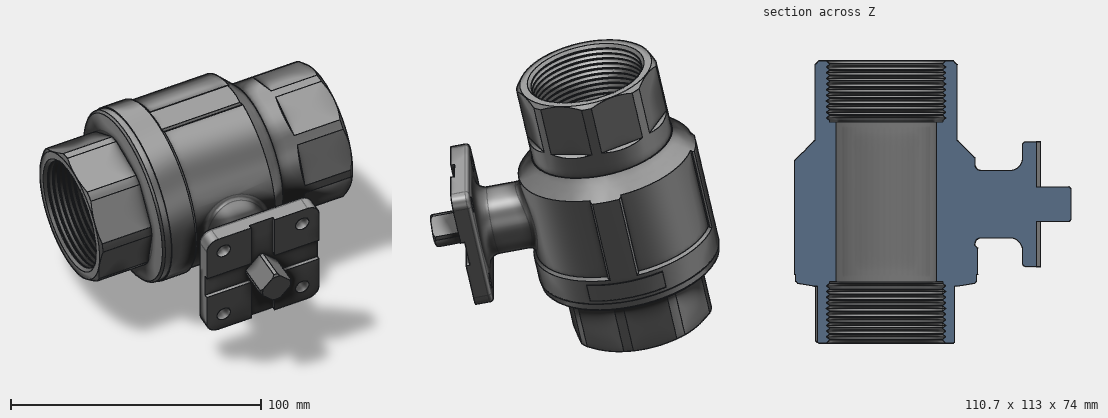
import cadquery as cq
import math


overall_width = 110.7
overall_length = 113.0
collar_radius = 36.7
rear_end = 57.4
front_end = rear_end - overall_length
stem_end = overall_width - collar_radius

neck_radius = 28.5
neck_cone_radius = 28.8
neck_cone_start = 25.4
panel_radius = 35.6
collar_rear = -16.4
collar_front = -28.1
cap_radius = 36.3
cap_front = -30.8
cap_edge_chamfer = 0.9
dish_front = -32.9

side_rib_width = 13.6
pad_rib_width = 11.0
top_rib_height = 36.2
rib_wall_depth = 0.8

pad_radius = 37.3
pad_width = 31.0
pad_rear = -19.2
pad_front = -26.3

flat_count = 8
flat_apothem = 27.0
flat_step = 360 / flat_count
rear_flat_start = 35.4
rear_flat_run_out = 1.0
front_flat_turn = 11.0
rear_chamfer = 1.6
front_chamfer_length = 0.9
front_chamfer_depth = 1.6

bore_radius = 20.0
thread_root_radius = 23.8
thread_crest_radius = 22.6
thread_pitch = 2.3
thread_turns = 10
thread_crest_width = 0.5
thread_run_out = 0.7
thread_lead_in = thread_root_radius - thread_crest_radius
thread_depth = thread_lead_in + thread_pitch * thread_turns + thread_run_out

stem_neck_radius = 13.6
body_blend = 2.3
flange_blend = 5.0
flange_back = 54.5
flange_face = 61.8
flange_side = 50.1
flange_corner = 5.1
flange_edge_fillet = 1.5
hole_spacing = 35.0
hole_diameter = 6.0
slot_width = 10.4
slot_depth = 1.6

stem_square = 11.0
stem_corner_radius = 7.0
stem_chamfer = 0.8


def revolve_about_bore(points):
    """Solid of revolution about Y from (radius, y) points."""
    return cq.Workplane("XY").polyline(points).close().revolve(360, (0, 0, 0), (0, 1, 0))


def cylinder_x(radius, start, end):
    return cq.Workplane("YZ").workplane(offset=start).circle(radius).extrude(end - start)


def barrel(shell_radius):
    """Rear 45 degree cone running into a cylinder that ends inside the collar."""
    cone_end = neck_cone_start - (shell_radius - neck_cone_radius)
    return revolve_about_bore([
        (0, neck_cone_start),
        (neck_cone_radius, neck_cone_start),
        (shell_radius, cone_end),
        (shell_radius, collar_front),
        (0, collar_front),
    ])


def collar_and_cap():
    collar_step = collar_radius - panel_radius
    collar = revolve_about_bore([
        (0, collar_rear),
        (panel_radius, collar_rear),
        (collar_radius, collar_rear - collar_step),
        (collar_radius, collar_front),
        (0, collar_front),
    ])
    cap = revolve_about_bore([
        (0, collar_front),
        (cap_radius, collar_front),
        (cap_radius, cap_front),
        (cap_radius - cap_edge_chamfer, cap_front - cap_edge_chamfer),
        (neck_radius, dish_front),
        (0, dish_front),
    ])
    return collar.union(cap)


def rib_block(width, crown, angle):
    """Radial block up to crown, turned about Y, with 45 degree walls below its long edges."""
    half = width / 2
    foot = half + rib_wall_depth
    edge = min(crown, math.sqrt(collar_radius**2 - half**2))
    walls = (
        cq.Workplane("XZ")
        .polyline([
            (-foot, 0),
            (-foot, edge - rib_wall_depth),
            (-half, edge),
            (half, edge),
            (foot, edge - rib_wall_depth),
            (foot, 0),
        ])
        .close()
        .extrude(overall_length, both=True)
    )
    core = cq.Workplane("XY").box(width, 2 * overall_length, crown, centered=(True, True, False))
    return walls.union(core).rotate((0, 0, 0), (0, 1, 0), angle)


def ribs():
    """Flat-crowned top rib; the bottom and left ribs follow the collar cylinder."""
    top = rib_block(pad_rib_width, top_rib_height, 0)
    bottom = rib_block(pad_rib_width, collar_radius, 180)
    left = rib_block(side_rib_width, collar_radius, -90)
    return barrel(collar_radius).intersect(top.union(bottom).union(left))


def marking_pad():
    """Raised curved pad across the bottom of the collar."""
    ring = (
        cq.Workplane("XZ", origin=(0, pad_rear, 0))
        .circle(pad_radius)
        .extrude(pad_rear - pad_front)
    )
    window = cq.Workplane("XY").box(pad_width, overall_length, 2 * pad_radius).translate((0, 0, -pad_radius))
    return ring.intersect(window)


def cut_flats(blank, start, end, run_out, turn):
    """Mill the wrench flats between two Y stations; the far wall slopes out by run_out."""
    depth = neck_radius - flat_apothem
    cutter = (
        cq.Workplane("YZ")
        .polyline([
            (start, flat_apothem),
            (end, flat_apothem),
            (end, flat_apothem + 2 * depth),
            (start - 2 * run_out, flat_apothem + 2 * depth),
        ])
        .close()
        .extrude(neck_radius / 2, both=True)
    )
    for index in range(flat_count):
        blank = blank.cut(cutter.rotate((0, 0, 0), (0, 1, 0), turn + index * flat_step))
    return blank


def rear_end_piece():
    blank = revolve_about_bore([
        (0, neck_cone_start),
        (neck_radius, neck_cone_start),
        (neck_radius, rear_end - rear_chamfer),
        (neck_radius - rear_chamfer, rear_end),
        (0, rear_end),
    ])
    return cut_flats(blank, rear_flat_start, rear_end, rear_flat_run_out, flat_step / 2)


def front_end_piece():
    blank = revolve_about_bore([
        (0, collar_front),
        (neck_radius, collar_front),
        (neck_radius, front_end + front_chamfer_length),
        (neck_radius - front_chamfer_depth, front_end),
        (0, front_end),
    ])
    return cut_flats(blank, front_end, collar_front, 0, front_flat_turn)


def threaded_socket(mouth, inward):
    """Ring-grooved socket; inward is the sign of Y pointing into the valve."""
    root_offset = (thread_pitch + thread_crest_width) / 2
    bottom = mouth + inward * thread_depth
    points = [(0, mouth), (thread_root_radius, mouth)]
    for turn in range(thread_turns):
        crest = mouth + inward * (thread_lead_in + turn * thread_pitch)
        points.append((thread_crest_radius, crest))
        points.append((thread_crest_radius, crest + inward * thread_crest_width))
        points.append((thread_root_radius, crest + inward * root_offset))
    points.append((thread_crest_radius, bottom - inward * thread_run_out))
    points.append((thread_crest_radius, bottom))
    points.append((0, bottom))
    return revolve_about_bore(points)


def bore():
    through = cq.Workplane("XZ").workplane(offset=-rear_end).circle(bore_radius).extrude(overall_length)
    return through.union(threaded_socket(rear_end, -1)).union(threaded_socket(front_end, 1))


def flange():
    thickness = flange_face - flange_back
    plate = (
        cq.Workplane("YZ", origin=(flange_back, 0, 0))
        .rect(flange_side, flange_side)
        .extrude(thickness)
        .edges("|X")
        .fillet(flange_corner)
        .faces("<X")
        .edges()
        .fillet(flange_edge_fillet)
    )
    holes = (
        cq.Workplane("YZ", origin=(flange_back, 0, 0))
        .rect(hole_spacing, hole_spacing, forConstruction=True)
        .vertices()
        .circle(hole_diameter / 2)
        .extrude(thickness)
    )
    slot_plane = cq.Workplane("YZ", origin=(flange_face - slot_depth, 0, 0))
    slots = slot_plane.rect(flange_side, slot_width).extrude(slot_depth)
    slots = slots.union(slot_plane.rect(slot_width, flange_side).extrude(slot_depth))
    return plate.cut(holes).cut(slots)


def flange_neck():
    """Concave flare between the stem neck and the back of the flange."""
    flare_start = flange_back - flange_blend
    sag = flange_blend * math.sqrt(0.5)
    rim_radius = stem_neck_radius + flange_blend
    return (
        cq.Workplane("XY")
        .moveTo(flare_start, 0)
        .lineTo(flare_start, stem_neck_radius)
        .threePointArc((flare_start + sag, rim_radius - sag), (flange_back, rim_radius))
        .lineTo(flange_back, 0)
        .close()
        .revolve(360, (0, 0, 0), (1, 0, 0))
    )


def drive_stem():
    start = flange_face - slot_depth
    square = (
        cq.Workplane("YZ", origin=(start, 0, 0))
        .transformed(rotate=(0, 0, 45))
        .rect(stem_square, stem_square)
        .extrude(stem_end - start)
    )
    envelope = cylinder_x(stem_corner_radius, start, stem_end).faces(">X").chamfer(stem_chamfer)
    return square.intersect(envelope)


body = barrel(panel_radius).union(cylinder_x(stem_neck_radius, 0, flange_back - flange_blend))
junction_reach = stem_neck_radius + body_blend / 2
junction = cq.selectors.BoxSelector(
    (bore_radius, -junction_reach, -junction_reach),
    (panel_radius + body_blend / 2, junction_reach, junction_reach),
)
body = body.edges(junction).fillet(body_blend)

for piece in (ribs(), collar_and_cap(), marking_pad(), rear_end_piece(), front_end_piece()):
    body = body.union(piece)

body = body.cut(bore())
result = body.union(flange_neck()).union(flange()).union(drive_stem())